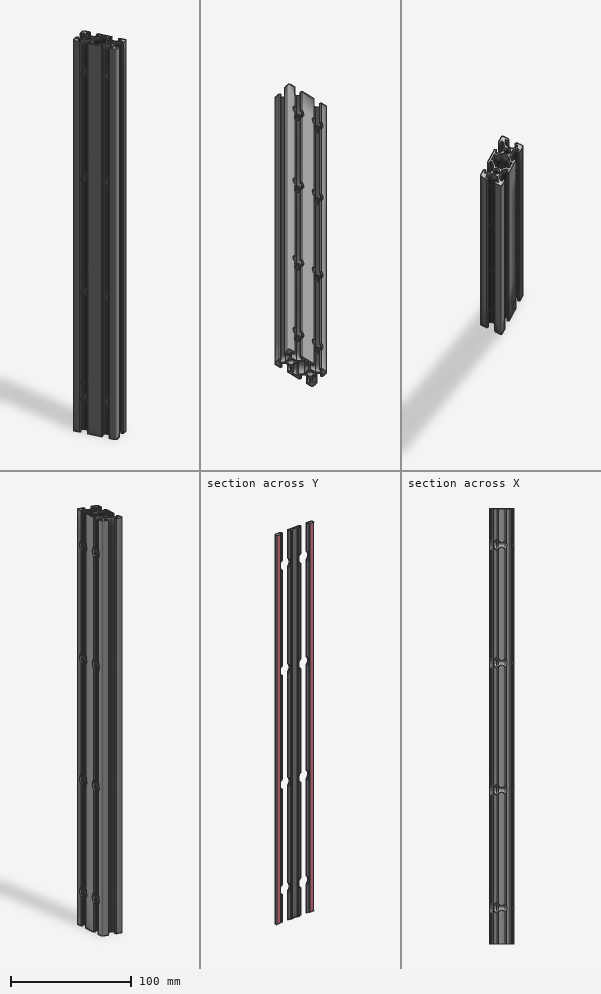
import cadquery as cq
import math

length = 360.0
width = 40.0
depth = width / 2
pitch = width / 2
corner_radius = 1.5

cell_half = depth / 2
mouth_width = 7.5
throat_width = 6.0
mouth_chamfer = 1.0
lip_thickness = 1.8
undercut_width = 11.0
core_width = 7.5
web_thickness = 1.5
cavity_end_width = 5.0

bore_diameter = 5.5
cross_hole_diameter = 6.5
counterbore_diameter = 11.0
cross_hole_offsets = (52.5, 150.0)

web_offset = web_thickness / math.sqrt(2)
slot_centres = (-pitch / 2, pitch / 2)


def mirrored_prism(half_outline):
    """Extrude an outline that is symmetric about Y, given its +X half from end to end."""
    other_half = [(-x, y) for x, y in reversed(half_outline)]
    return cq.Workplane("XY").polyline(half_outline + other_half).close().extrude(length)


def t_slot():
    """Slot opening toward +Y, with the core centre at the origin."""
    core_half = core_width / 2
    undercut_half = undercut_width / 2
    lip_inside = cell_half - lip_thickness
    return mirrored_prism([
        (core_half - web_offset, core_half),
        (undercut_half, undercut_half + web_offset),
        (undercut_half, lip_inside),
        (throat_width / 2, lip_inside),
        (throat_width / 2, cell_half - mouth_chamfer),
        (mouth_width / 2, cell_half),
    ])


def centre_cavity():
    """Eight-sided opening between the two cores, with its slanted sides along the 45 degree webs."""
    core_half = core_width / 2
    side = pitch / 2 - core_half
    end = cavity_end_width / 2
    side_height = core_half - web_offset
    end_height = pitch / 2 - end - web_offset
    top = cell_half - lip_thickness
    return mirrored_prism([
        (end, -top),
        (end, -end_height),
        (side, -side_height),
        (side, side_height),
        (end, end_height),
        (end, top),
    ])


def extrusion():
    body = cq.Workplane("XY").box(width, depth, length, centered=(True, True, False))
    body = body.edges("|Z").fillet(corner_radius)
    slot = t_slot()
    for x in slot_centres:
        for angle in (0, 180, math.copysign(90, -x)):
            body = body.cut(slot.rotate((0, 0, 0), (0, 0, 1), angle).translate((x, 0, 0)))
    body = body.cut(centre_cavity())
    bores = cq.Workplane("XY").pushPoints([(x, 0) for x in slot_centres]).circle(bore_diameter / 2)
    return body.cut(bores.extrude(length))


def cross_holes():
    """Holes through the part along Y, counterbored from the +Y face to the slot floors."""
    heights = [length / 2 + sign * offset for offset in cross_hole_offsets for sign in (-1, 1)]
    centres = [(x, z) for x in slot_centres for z in heights]
    layout = cq.Workplane("XZ", origin=(0, cell_half, 0)).pushPoints(centres)
    holes = layout.circle(cross_hole_diameter / 2).extrude(depth)
    counterbores = layout.circle(counterbore_diameter / 2).extrude(cell_half - core_width / 2)
    return holes.union(counterbores)


result = extrusion().cut(cross_holes())